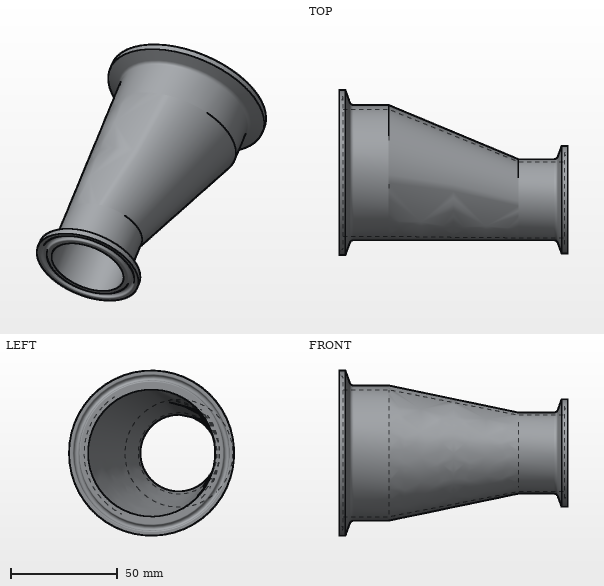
import cadquery as cq
import math

length = 107.0
ferrule_length = 23.1
large_rim_diameter, large_tube_diameter, large_bore = 77.5, 63.5, 59.5
small_rim_diameter, small_tube_diameter, small_bore = 50.5, 38.1, 35.7

small_axis_y = (small_tube_diameter - large_tube_diameter) / 2

rim_thickness = 2.9
flange_angle = math.radians(20)
neck_fillet = 1.8
groove_inset = 3.5
groove_width = 2.5
groove_depth = 1.6
groove_lip_radius = 0.6


def revolve_about_x(profile):
    return profile.close().revolve(360, (0, 0, 0), (1, 0, 0))


def make_groove(middle_radius):
    """Ring of arc section with convex rounded lips, open at x = 0."""
    half_width = groove_width / 2
    lip_drop = groove_lip_radius * (1 - math.cos(math.pi / 4))
    lip_reach = groove_lip_radius * math.sin(math.pi / 4)
    inner = middle_radius - half_width
    outer = middle_radius + half_width
    profile = (
        cq.Workplane("XY")
        .moveTo(0, inner - groove_lip_radius)
        .threePointArc(
            (lip_drop, inner - groove_lip_radius + lip_reach),
            (groove_lip_radius, inner),
        )
        .threePointArc((groove_depth, middle_radius), (groove_lip_radius, outer))
        .threePointArc(
            (lip_drop, outer + groove_lip_radius - lip_reach),
            (0, outer + groove_lip_radius),
        )
    )
    return revolve_about_x(profile)


def make_ferrule(rim_diameter, tube_diameter):
    """Unbored ferrule on the X axis, with its sealing face at x = 0."""
    rim_radius = rim_diameter / 2
    tube_radius = tube_diameter / 2
    neck_x = rim_thickness + (rim_radius - tube_radius) * math.tan(flange_angle)

    turn = math.pi / 2 - flange_angle
    tangent_length = neck_fillet * math.tan(turn / 2)
    slope_x = neck_x - tangent_length * math.sin(flange_angle)
    slope_radius = tube_radius + tangent_length * math.cos(flange_angle)
    center_x = neck_x + tangent_length
    center_radius = tube_radius + neck_fillet
    middle_x = center_x - neck_fillet * math.sin(turn / 2)
    middle_radius = center_radius - neck_fillet * math.cos(turn / 2)

    profile = (
        cq.Workplane("XY")
        .lineTo(0, rim_radius)
        .lineTo(rim_thickness, rim_radius)
        .lineTo(slope_x, slope_radius)
        .threePointArc((middle_x, middle_radius), (center_x, tube_radius))
        .lineTo(ferrule_length, tube_radius)
        .lineTo(ferrule_length, 0)
    )
    return revolve_about_x(profile).cut(make_groove(rim_radius - groove_inset))


def make_oblique_cone(large_diameter, small_diameter):
    return (
        cq.Workplane("YZ", origin=(ferrule_length, 0, 0))
        .circle(large_diameter / 2)
        .workplane(offset=length - 2 * ferrule_length)
        .center(small_axis_y, 0)
        .circle(small_diameter / 2)
        .loft(ruled=True)
    )


def make_passage():
    large_end = cq.Workplane("YZ").circle(large_bore / 2).extrude(ferrule_length)
    small_end = (
        cq.Workplane("YZ", origin=(length - ferrule_length, small_axis_y, 0))
        .circle(small_bore / 2)
        .extrude(ferrule_length)
    )
    return large_end.union(make_oblique_cone(large_bore, small_bore)).union(small_end)


large_ferrule = make_ferrule(large_rim_diameter, large_tube_diameter)
small_ferrule = (
    make_ferrule(small_rim_diameter, small_tube_diameter)
    .mirror("YZ")
    .translate((length, small_axis_y, 0))
)
cone = make_oblique_cone(large_tube_diameter, small_tube_diameter)

result = large_ferrule.union(cone).union(small_ferrule).cut(make_passage())